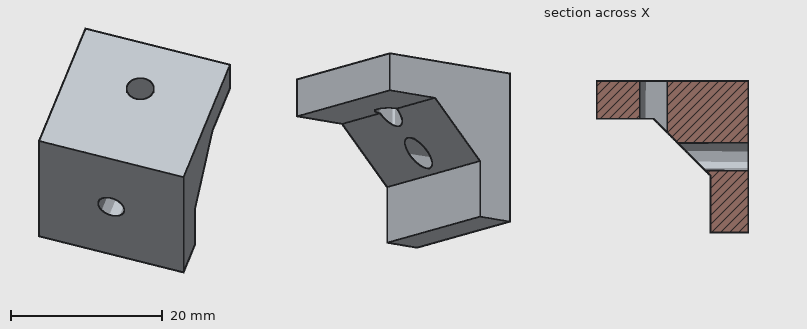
import cadquery as cq

size = 20.0
wall = 5.0
gusset_leg = 7.5
hole_diameter = 3.6
front_hole_z = 0.0
top_hole_y = 2.5

half = size / 2
inner_y = -half + wall
inner_z = half - wall


def bracket_body():
    """Right-angle bracket with a sloped inner corner, extruded along X."""
    profile = [
        (-half, -half),
        (inner_y, -half),
        (inner_y, inner_z - gusset_leg),
        (inner_y + gusset_leg, inner_z),
        (half, inner_z),
        (half, half),
        (-half, half),
    ]
    return cq.Workplane("YZ").polyline(profile).close().extrude(half, both=True)


def hole_along_y(z):
    """Cylinder that pierces the part along Y at height z."""
    return cq.Workplane("XZ").center(0, z).circle(hole_diameter / 2).extrude(size, both=True)


def hole_along_z(y):
    """Cylinder that pierces the part along Z at position y."""
    return cq.Workplane("XY").center(0, y).circle(hole_diameter / 2).extrude(size, both=True)


result = bracket_body().cut(hole_along_y(front_hole_z)).cut(hole_along_z(top_hole_y))